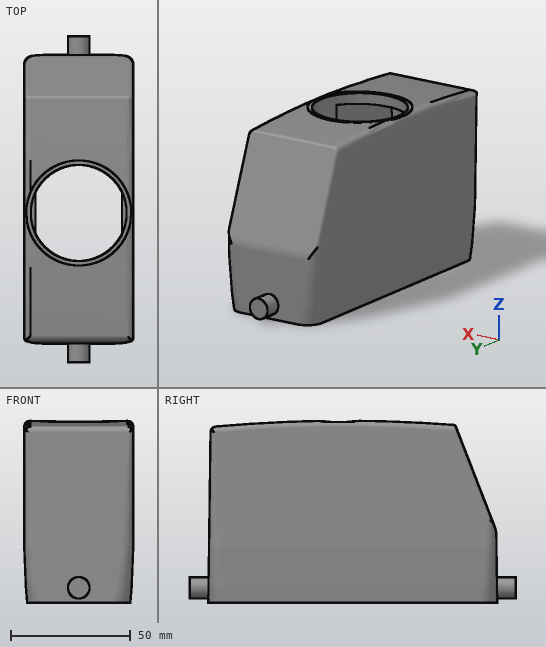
import cadquery as cq

body_width = 45.5
body_length = 120.5
body_height = 75.9
pin_span = 136.0

end_draft = 1.0
front_top_z = 73.3
crown_y = -3.3
slope_bottom_z = 29.9
slope_bend_radius = 9.5
slope_top_y = 42.7
slope_top_z = 74.1

base_width = 43.1
taper_mid_width = 44.2
taper_mid_z = 6.8
taper_top_z = 23.5
base_corner = 7.5
mid_corner = 6.3
upper_corner = 4.4
top_corner = 1.5

roof_fillet = 2.7
slope_fillet = 1.5

wall = 4.9
cavity_width = 35.9
opening_y = -5.7
opening_radius = 20.0
opening_bottom_z = 63.9
seat_radius = 21.9
seat_z = 75.3

pin_radius = 4.5
pin_z = 6.3

half_length = body_length / 2


def end_y(z):
    """Distance of the drafted end faces from the middle plane at height z."""
    return half_length - end_draft * z / front_top_z


def side_outline(bottom_z):
    """Lengthwise outline in the YZ plane; the drafted ends continue down to bottom_z."""
    return (
        cq.Workplane("YZ")
        .moveTo(-end_y(bottom_z), bottom_z)
        .lineTo(-end_y(front_top_z), front_top_z)
        .threePointArc((crown_y, body_height), (slope_top_y, slope_top_z))
        .lineTo(end_y(slope_bottom_z), slope_bottom_z)
        .lineTo(end_y(bottom_z), bottom_z)
        .close()
    )


def nearest(*point):
    """Selector for the face or edge closest to the point."""
    return cq.selectors.NearestToPointSelector(point)


def make_block():
    """Solid with the lengthwise outline and rounded roof and slope edges."""
    plain = side_outline(0).extrude(body_width / 2, both=True)
    front_rounded = plain.edges(nearest(0, -end_y(front_top_z), front_top_z)).fillet(roof_fillet)

    roof = plain.faces(nearest(0, crown_y, body_height))
    sides_rounded = roof.edges("<X or >X").fillet(roof_fillet)
    slope_bend = nearest(0, end_y(slope_bottom_z), slope_bottom_z)
    sides_rounded = sides_rounded.edges(slope_bend).fillet(slope_bend_radius)
    slope_middle_y = (slope_top_y + end_y(slope_bottom_z)) / 2
    slope_middle_z = (slope_top_z + slope_bottom_z) / 2
    slope = sides_rounded.faces(nearest(0, slope_middle_y, slope_middle_z))
    sides_rounded = slope.edges("<X or >X or >Z").fillet(slope_fillet)
    return sides_rounded.intersect(front_rounded)


def section(z, width, corner):
    """Rounded rectangular wire at height z."""
    outline = cq.Sketch().rect(width, 2 * end_y(z)).vertices().fillet(corner)
    return outline.moved(cq.Location(cq.Vector(0, 0, z)))


def make_corner_envelope():
    """Ruled envelope that narrows the base and rounds the upright corners."""
    return (
        cq.Workplane("XY")
        .placeSketch(
            section(0, base_width, base_corner),
            section(taper_mid_z, taper_mid_width, mid_corner),
            section(taper_top_z, body_width, upper_corner),
            section(body_height, body_width, top_corner),
        )
        .loft(ruled=True)
    )


def make_cavity():
    """Inner space open at the base, parallel to the outer lengthwise outline."""
    return side_outline(-wall).offset2D(-wall).extrude(cavity_width / 2, both=True)


def vertical_cylinder(radius, bottom_z):
    """Cutter at the cable opening, reaching from bottom_z past the roof."""
    return (
        cq.Workplane("XY", origin=(0, opening_y, bottom_z))
        .circle(radius)
        .extrude(body_height + wall - bottom_z)
    )


def make_pin(side):
    """Locking pin on the +Y end (side = 1) or the -Y end (side = -1), rooted in the wall."""
    root_y = half_length - wall / 2
    direction = cq.Vector(0, side, 0)
    root = cq.Vector(0, side * root_y, pin_z)
    return cq.Workplane(cq.Solid.makeCylinder(pin_radius, pin_span / 2 - root_y, root, direction))


result = make_block().intersect(make_corner_envelope()).cut(make_cavity())
result = result.cut(vertical_cylinder(opening_radius, opening_bottom_z))
result = result.cut(vertical_cylinder(seat_radius, seat_z))
for side in (-1, 1):
    result = result.union(make_pin(side))